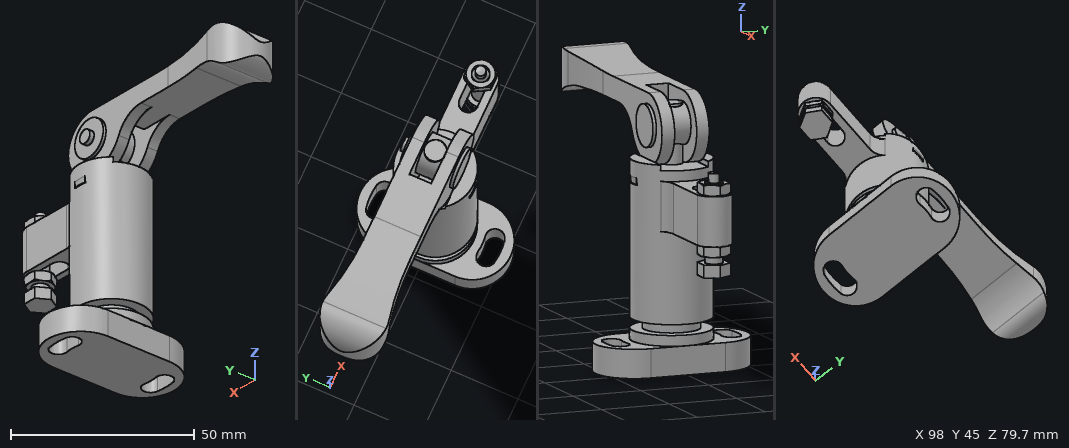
import cadquery as cq
import math

OVERCUT = 1.0

plate_length = 45.0
plate_width = 23.0
plate_height = 8.2
collar_height = 3.0
neck_diameter = 16.0
neck_height = 3.0
rod_diameter = 6.2
mount_slot_radius = 16.75
mount_slot_width = 5.4
mount_slot_half_angle = 10.0

sleeve_radius = plate_width / 2
sleeve_bottom = plate_height + collar_height + neck_height
sleeve_top = 58.5
groove_depth = 1.5
groove_floor = sleeve_top - groove_depth
arm_width = 10.0
arm_bottom = 40.0
arm_top = 54.0
arm_root_fillet = 5.0
bolt_x = 30.0
arm_slot_start = 19.2
arm_slot_width = 5.3
mark_width = 4.3
mark_height = 2.0
mark_depth = 0.25

overall_height = 79.72
lever_width = 14.0
cam_radius = 10.0
cam_z = groove_floor + cam_radius
cam_entry_radius = 12.5
cam_entry_z = groove_floor + cam_entry_radius
handle_top = cam_z + cam_radius
handle_bottom = 70.4
handle_root_radius = 10.4
fork_gap = 6.5
fork_end_x = -10.0
fork_open_x = fork_end_x - 2 * handle_root_radius
top_flare_x = -25.0
bottom_flare_x = -45.5
side_flare_x = -32.0
knob_end_x = -63.0
knob_plan_radius = 9.5
knob_plan_x = knob_end_x + knob_plan_radius
knob_upper_radius = 8.3
knob_lower_radius = 4.9
knob_upper_x = -55.1
knob_z = overall_height - knob_upper_radius

pin_diameter = 12.0
pin_length = 16.0
pin_z = 67.9
stub_diameter = 4.3
stub_length = 1.5

hex_across_flats = 8.0
across_corners = hex_across_flats / math.cos(math.pi / 6)
nut_height = 3.1
nut_chamfer = 0.6
shank_diameter = 5.0
head_bottom = 31.2
head_height = 3.6
tip_diameter = 3.0
tip_top = 59.7
tip_point_height = 0.3


def hollow_radius(dx, dz, round_radius):
    """Radius of the hollow arc tangent to a straight edge and to a round end.

    dx is the distance along the edge from the tangent point to the round's centre,
    dz the depth of that centre behind the edge.
    """
    return (dx**2 + dz**2 - round_radius**2) / (2 * (round_radius - dz))


def point_towards(start, end, distance):
    """Point at the given distance from start in the direction of end."""
    length = math.dist(start, end)
    return tuple(a + (b - a) * distance / length for a, b in zip(start, end))


def arc_middle(center, radius, start, end):
    """Middle point of the shorter arc from start to end."""
    chord_middle = ((start[0] + end[0]) / 2, (start[1] + end[1]) / 2)
    return point_towards(center, chord_middle, radius)


def cylinder(diameter, bottom, top):
    """Cylinder on the post axis between two heights."""
    return cq.Workplane("XY").workplane(offset=bottom).circle(diameter / 2).extrude(top - bottom)


def hexagon(bottom, height):
    """Hexagonal prism on the bolt axis with two corners on the X direction."""
    return (
        cq.Workplane("XY").workplane(offset=bottom).center(bolt_x, 0)
        .polygon(6, across_corners).extrude(height)
    )


def curved_slot(side):
    """Mounting slot cutter curved about the post axis; side is +1 or -1 along Y."""
    half_width = mount_slot_width / 2
    angle = math.radians(mount_slot_half_angle)

    def polar(radius, turn):
        return (radius * math.sin(turn), side * radius * math.cos(turn))

    inner = mount_slot_radius - half_width
    outer = mount_slot_radius + half_width
    end_turn = angle + half_width / mount_slot_radius
    return (
        cq.Workplane("XY")
        .moveTo(*polar(outer, -angle))
        .threePointArc(polar(outer, 0), polar(outer, angle))
        .threePointArc(polar(mount_slot_radius, end_turn), polar(inner, angle))
        .threePointArc(polar(inner, 0), polar(inner, -angle))
        .threePointArc(polar(mount_slot_radius, -end_turn), polar(outer, -angle))
        .close().extrude(plate_height)
    )


def make_base():
    """Slotted plate carrying the collar, the neck and the rod in one piece."""
    plate = cq.Workplane("XY").slot2D(plate_length, plate_width, 90).extrude(plate_height)
    for side in (1, -1):
        plate = plate.cut(curved_slot(side))
    collar_top = plate_height + collar_height
    rod_top = pin_z + pin_diameter / 2
    return (
        plate
        .union(cylinder(plate_width, plate_height, collar_top))
        .union(cylinder(neck_diameter, collar_top, sleeve_bottom))
        .union(cylinder(rod_diameter, sleeve_bottom, rod_top))
    )


def make_arm():
    """Arm with a rounded end, blended into the sleeve by tangent fillets."""
    half_width = arm_width / 2
    fillet_y = half_width + arm_root_fillet
    fillet_x = math.sqrt((sleeve_radius + arm_root_fillet) ** 2 - fillet_y**2)
    root = point_towards((0, 0), (fillet_x, fillet_y), sleeve_radius)
    side = (fillet_x, half_width)
    blend = arc_middle((fillet_x, fillet_y), arm_root_fillet, root, side)
    arm = (
        cq.Workplane("XY").workplane(offset=arm_bottom)
        .lineTo(*root)
        .threePointArc(blend, side)
        .lineTo(bolt_x, half_width)
        .threePointArc((bolt_x + half_width, 0), (bolt_x, -half_width))
        .lineTo(side[0], -side[1])
        .threePointArc((blend[0], -blend[1]), (root[0], -root[1]))
        .close().extrude(arm_top - arm_bottom)
    )
    slot_end = bolt_x + arm_slot_width / 2
    slot = (
        cq.Workplane("XY").workplane(offset=arm_bottom)
        .center((arm_slot_start + slot_end) / 2, 0)
        .slot2D(slot_end - arm_slot_start, arm_slot_width)
        .extrude(arm_top - arm_bottom)
    )
    return arm.cut(slot)


def flank_marks():
    """Cutters that deepen from nothing at the top to a ledge at the bottom, on both flanks."""
    ring = (
        cq.Workplane("XZ")
        .moveTo(sleeve_radius, arm_top)
        .lineTo(sleeve_radius - mark_depth, arm_top - mark_height)
        .lineTo(sleeve_radius + OVERCUT, arm_top - mark_height)
        .lineTo(sleeve_radius + OVERCUT, arm_top)
        .close().revolve(360, (0, 0), (0, 1))
    )
    band_length = 2 * (sleeve_radius + 2 * OVERCUT)
    band = cq.Workplane("XY").box(mark_width, band_length, sleeve_top).translate((0, 0, arm_top))
    return ring.intersect(band)


def make_sleeve():
    """Sleeve around the rod with the arm, the lever groove and the flank recesses."""
    body = cylinder(2 * sleeve_radius, sleeve_bottom, sleeve_top).union(make_arm())
    groove = (
        cq.Workplane("XY").workplane(offset=groove_floor)
        .rect(3 * sleeve_radius, lever_width).extrude(groove_depth)
    )
    bore = cylinder(rod_diameter, sleeve_bottom, sleeve_top)
    return body.cut(groove).cut(bore).cut(flank_marks())


def lever_profile():
    """Side outline of the lever in X and Z, as a solid wide enough for the knob."""
    upper = (knob_upper_x, knob_z)
    lower = (knob_upper_x - knob_upper_radius + knob_lower_radius, knob_z)
    knob_tip = (knob_upper_x - knob_upper_radius, knob_z)

    top_radius = hollow_radius(knob_upper_x - top_flare_x, handle_top - knob_z, knob_upper_radius)
    top_center = (top_flare_x, handle_top + top_radius)
    top_start = (top_flare_x, handle_top)
    top_end = point_towards(upper, top_center, knob_upper_radius)

    bottom_radius = hollow_radius(lower[0] - bottom_flare_x, knob_z - handle_bottom, knob_lower_radius)
    bottom_center = (bottom_flare_x, handle_bottom - bottom_radius)
    bottom_start = point_towards(lower, bottom_center, knob_lower_radius)
    bottom_end = (bottom_flare_x, handle_bottom)

    root_z = handle_bottom - handle_root_radius
    root_reach = cam_entry_radius + handle_root_radius
    root_center = (-math.sqrt(root_reach**2 - (cam_entry_z - root_z) ** 2), root_z)
    entry_center = (0, cam_entry_z)
    root_start = (root_center[0], handle_bottom)
    root_end = point_towards(entry_center, root_center, cam_entry_radius)
    cam_low = (0, groove_floor)

    knob_over = arc_middle(upper, knob_upper_radius, top_end, knob_tip)
    knob_under = point_towards(lower, (lower[0] - 1, lower[1] - 1), knob_lower_radius)
    return (
        cq.Workplane("XZ")
        .moveTo(0, handle_top)
        .lineTo(*top_start)
        .threePointArc(arc_middle(top_center, top_radius, top_start, top_end), top_end)
        .threePointArc(knob_over, knob_tip)
        .threePointArc(knob_under, bottom_start)
        .threePointArc(arc_middle(bottom_center, bottom_radius, bottom_start, bottom_end), bottom_end)
        .lineTo(*root_start)
        .threePointArc(arc_middle(root_center, handle_root_radius, root_start, root_end), root_end)
        .threePointArc(arc_middle(entry_center, cam_entry_radius, root_end, cam_low), cam_low)
        .threePointArc((cam_radius, cam_z), (0, handle_top))
        .close().extrude(knob_plan_radius, both=True)
    )


def lever_plan():
    """Outline of the lever seen along Z, as a solid as tall as the lever."""
    half_width = lever_width / 2
    flare_radius = hollow_radius(knob_plan_x - side_flare_x, half_width, knob_plan_radius)
    flare_center = (side_flare_x, half_width + flare_radius)
    flare_start = (side_flare_x, half_width)
    flare_end = point_towards((knob_plan_x, 0), flare_center, knob_plan_radius)
    flare_middle = arc_middle(flare_center, flare_radius, flare_start, flare_end)
    return (
        cq.Workplane("XY").workplane(offset=groove_floor)
        .moveTo(cam_radius, half_width)
        .lineTo(*flare_start)
        .threePointArc(flare_middle, flare_end)
        .threePointArc((knob_end_x, 0), (flare_end[0], -flare_end[1]))
        .threePointArc((flare_middle[0], -flare_middle[1]), (flare_start[0], -flare_start[1]))
        .lineTo(cam_radius, -half_width)
        .close().extrude(overall_height - groove_floor)
    )


def pin_body():
    """Plain cylinder of the cross pin along Y."""
    return (
        cq.Workplane("XZ").center(0, pin_z)
        .circle(pin_diameter / 2).extrude(pin_length / 2, both=True)
    )


def make_lever():
    """Cam lever with a fork that straddles the rod and a hole for the cross pin."""
    fork = (
        cq.Workplane("XZ")
        .moveTo(cam_radius, handle_top)
        .lineTo(fork_end_x, handle_top)
        .lineTo(fork_end_x, handle_bottom)
        .lineTo(fork_open_x, handle_bottom)
        .lineTo(fork_open_x, groove_floor)
        .lineTo(cam_radius, groove_floor)
        .close().extrude(fork_gap / 2, both=True)
    )
    return lever_profile().intersect(lever_plan()).cut(fork).cut(pin_body())


def make_cross_pin():
    """Pin across the fork, bored for the rod, with a small stub on its +Y end."""
    stub = (
        cq.Workplane("XZ", origin=(0, pin_length / 2, pin_z))
        .circle(stub_diameter / 2).extrude(-stub_length)
    )
    rod_hole = cylinder(rod_diameter, sleeve_bottom, handle_top)
    return pin_body().union(stub).cut(rod_hole)


def make_bolt():
    """Hexagon head, shank and a coned-down tip with a shallow point."""
    shank_radius = shank_diameter / 2
    tip_radius = tip_diameter / 2
    cone_top = arm_top + nut_height
    cone_bottom = cone_top - (shank_radius - tip_radius)
    stem = (
        cq.Workplane("XZ")
        .moveTo(0, head_bottom)
        .lineTo(shank_radius, head_bottom)
        .lineTo(shank_radius, cone_bottom)
        .lineTo(tip_radius, cone_top)
        .lineTo(tip_radius, tip_top)
        .lineTo(0, tip_top + tip_point_height)
        .close().revolve(360, (0, 0), (0, 1))
        .translate((bolt_x, 0, 0))
    )
    return hexagon(head_bottom, head_height).union(stem)


def make_nut(bottom):
    """Hexagon nut with its corners turned off at both ends."""
    turned = (
        cylinder(across_corners, bottom, bottom + nut_height)
        .faces("<Z or >Z").chamfer(nut_chamfer / 2, nut_chamfer)
        .translate((bolt_x, 0, 0))
    )
    bore = cylinder(shank_diameter, bottom, bottom + nut_height).translate((bolt_x, 0, 0))
    return hexagon(bottom, nut_height).intersect(turned).cut(bore)


base = make_base()
sleeve = make_sleeve()
lever = make_lever()
cross_pin = make_cross_pin()
bolt = make_bolt()
nuts = [make_nut(bottom) for bottom in (arm_bottom - nut_height, arm_top)]

result = cq.Compound.makeCompound(
    [base.val(), sleeve.val(), lever.val(), cross_pin.val(), bolt.val(), *[nut.val() for nut in nuts]]
)